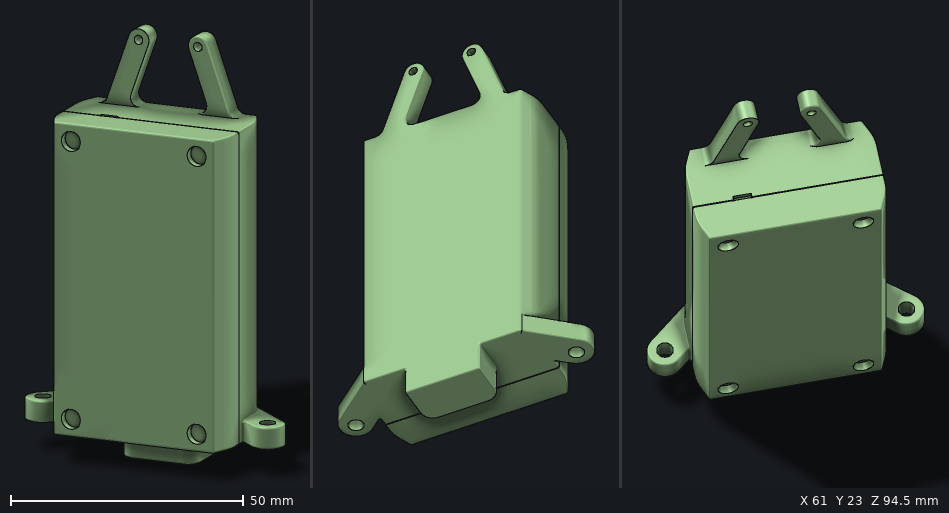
import cadquery as cq
import math


CASE_HALF_WIDTH = 21.0
CASE_DEPTH = 23.0
CASE_HEIGHT = 70.0
PARTING_DEPTH = 14.3
PARTING_GAP = 0.2
SLAB_SPAN = 4 * CASE_HEIGHT
CORNER_RADIUS = 10.0
FACET_DEPTH = 2.7
BEND_DEPTH = 6.8
EDGE_RADIUS = 0.5

RECESS_DIAMETER = 4.4
RECESS_DEPTH = 2.0
RECESS_INSET = 4.0
RECESS_HALF_SPACING = 14.8

NOTCH_CENTER_X = -9.9
NOTCH_WIDTH = 4.0
NOTCH_LENGTH = 0.85
NOTCH_DEPTH = 1.0

LUG_RADIUS = 4.0
LUG_HOLE_DIAMETER = 3.5
LUG_HEIGHT = 5.0
LUG_HOLE_X = 26.51
LUG_HOLE_DEPTH = 11.6
LUG_ANGLE = 40.0
LUG_JOINT_RADIUS = 0.4
LUG_ROOT_LENGTH = 13.0

ARM_HOLE_X = 7.0
ARM_TIP_RADIUS = 2.5
ARM_HOLE_DIAMETER = 2.0
ARM_THICKNESS = 4.8
ARM_RISE = 17.5
ARM_LEAN = 19.5
ARM_ROOT_RADIUS = 2.0
ARM_HOLE_Z = CASE_HEIGHT + ARM_RISE - ARM_TIP_RADIUS

PLUG_HALF_WIDTH = 9.0
PLUG_DEPTH = 10.5
PLUG_HEIGHT = 7.0
PLUG_CORNER_RADIUS = 3.0


def case_block():
    """Whole case without edge roundings: flat front and back, side walls bent inward to slanted facets."""
    bend_angle = math.asin((BEND_DEPTH - FACET_DEPTH) / CORNER_RADIUS)
    bend_x = CASE_HALF_WIDTH - CORNER_RADIUS * (1 - math.cos(bend_angle))
    middle_x = CASE_HALF_WIDTH - CORNER_RADIUS * (1 - math.cos(bend_angle / 2))
    middle_y = BEND_DEPTH - CORNER_RADIUS * math.sin(bend_angle / 2)
    flat_x = bend_x - FACET_DEPTH * math.tan(bend_angle)

    return (
        cq.Workplane("XY")
        .moveTo(-flat_x, 0)
        .lineTo(flat_x, 0)
        .lineTo(bend_x, -FACET_DEPTH)
        .threePointArc((middle_x, -middle_y), (CASE_HALF_WIDTH, -BEND_DEPTH))
        .lineTo(CASE_HALF_WIDTH, BEND_DEPTH - CASE_DEPTH)
        .threePointArc((middle_x, middle_y - CASE_DEPTH), (bend_x, FACET_DEPTH - CASE_DEPTH))
        .lineTo(flat_x, -CASE_DEPTH)
        .lineTo(-flat_x, -CASE_DEPTH)
        .lineTo(-bend_x, FACET_DEPTH - CASE_DEPTH)
        .threePointArc((-middle_x, middle_y - CASE_DEPTH), (-CASE_HALF_WIDTH, BEND_DEPTH - CASE_DEPTH))
        .lineTo(-CASE_HALF_WIDTH, -BEND_DEPTH)
        .threePointArc((-middle_x, -middle_y), (-bend_x, -FACET_DEPTH))
        .close()
        .extrude(CASE_HEIGHT)
    )


def depth_slab(near, far):
    """Slice of space between two depths in front of the back face, wider and taller than the part."""
    return (
        cq.Workplane("XY")
        .box(SLAB_SPAN, far - near, SLAB_SPAN)
        .translate((0, -(near + far) / 2, 0))
    )


def arm_outline():
    """Outline of the right-hand arm: round tip, straight leaning sides and flared root arcs."""
    lean = math.radians(ARM_LEAN)
    tip = cq.Vector(ARM_HOLE_X, ARM_HOLE_Z)
    down = cq.Vector(math.sin(lean), -math.cos(lean))
    outward = cq.Vector(math.cos(lean), math.sin(lean))
    toward_case = cq.Vector(0, -1)

    def root(side):
        """Upper, middle and lower points of the root arc on one side (+1 outer, -1 inner)."""
        away = outward * side
        offset = away * (ARM_TIP_RADIUS + ARM_ROOT_RADIUS)
        drop = tip.y + offset.y - CASE_HEIGHT - ARM_ROOT_RADIUS
        center = tip + offset + down * (drop / math.cos(lean))
        upper = center - away * ARM_ROOT_RADIUS
        middle = center + (toward_case - away).normalized() * ARM_ROOT_RADIUS
        lower = center + toward_case * ARM_ROOT_RADIUS
        return [(point.x, point.y) for point in (upper, middle, lower)]

    outer_upper, outer_middle, outer_lower = root(1)
    inner_upper, inner_middle, inner_lower = root(-1)
    tip_outer = tip + outward * ARM_TIP_RADIUS
    tip_end = tip - down * ARM_TIP_RADIUS
    tip_inner = tip - outward * ARM_TIP_RADIUS
    return (
        cq.Workplane("XZ")
        .moveTo(*inner_lower)
        .lineTo(*outer_lower)
        .threePointArc(outer_middle, outer_upper)
        .lineTo(tip_outer.x, tip_outer.y)
        .threePointArc((tip_end.x, tip_end.y), (tip_inner.x, tip_inner.y))
        .lineTo(*inner_upper)
        .threePointArc(inner_middle, inner_lower)
        .close()
    )


def arms():
    """The two arms, mirrored in X; the right-hand one also has a rounded front outline."""
    plain = arm_outline().extrude(ARM_THICKNESS)
    rounded = plain.faces("<Y").edges("not <Z").fillet(EDGE_RADIUS)
    return rounded.add(plain.mirror("YZ")).combine()


def arm_holes():
    return (
        cq.Workplane("XZ")
        .pushPoints([(-ARM_HOLE_X, ARM_HOLE_Z), (ARM_HOLE_X, ARM_HOLE_Z)])
        .circle(ARM_HOLE_DIAMETER / 2)
        .extrude(ARM_THICKNESS)
    )


def plug():
    """Block under the case, flush with the back face and with two rounded front corners."""
    return (
        cq.Workplane("XY")
        .rect(2 * PLUG_HALF_WIDTH, 2 * PLUG_DEPTH)
        .extrude(-PLUG_HEIGHT)
        .edges("|Z and <Y")
        .fillet(PLUG_CORNER_RADIUS)
        .intersect(depth_slab(0, CASE_DEPTH))
        .faces("<Z")
        .edges("not >Y")
        .fillet(EDGE_RADIUS)
    )


def lug():
    """Right-hand mounting lug: a round-ended plate whose slanting root is buried in the case."""
    plate = (
        cq.Workplane("XY")
        .moveTo(-LUG_ROOT_LENGTH, -LUG_RADIUS)
        .lineTo(0, -LUG_RADIUS)
        .threePointArc((LUG_RADIUS, 0), (0, LUG_RADIUS))
        .lineTo(-LUG_ROOT_LENGTH, LUG_RADIUS)
        .close()
        .extrude(LUG_HEIGHT)
        .faces("<Z or >Z")
        .edges("not <X")
        .fillet(EDGE_RADIUS)
    )
    hole = cq.Workplane("XY").circle(LUG_HOLE_DIAMETER / 2).extrude(LUG_HEIGHT)
    return (
        plate.cut(hole)
        .rotate((0, 0, 0), (0, 0, 1), -LUG_ANGLE)
        .translate((LUG_HOLE_X, -LUG_HOLE_DEPTH, 0))
    )


def pry_notch():
    """Shallow rectangular pocket in the top of the base, open to the parting gap."""
    return (
        cq.Workplane("XY")
        .box(NOTCH_WIDTH, NOTCH_LENGTH, NOTCH_DEPTH)
        .translate((
            NOTCH_CENTER_X,
            NOTCH_LENGTH / 2 - PARTING_DEPTH,
            CASE_HEIGHT - NOTCH_DEPTH / 2,
        ))
    )


def base_shell():
    """Rear body: back part of the case with the arms, the plug and the mounting lugs."""
    block = case_block().faces("<Z or >Z").edges("not >Y").fillet(EDGE_RADIUS)
    shell = block.intersect(depth_slab(0, PARTING_DEPTH)).union(plug())
    plug_root = cq.selectors.BoxSelector(
        (-PLUG_HALF_WIDTH - EDGE_RADIUS / 2, -PLUG_DEPTH - EDGE_RADIUS / 2, -EDGE_RADIUS / 2),
        (PLUG_HALF_WIDTH + EDGE_RADIUS / 2, -EDGE_RADIUS, EDGE_RADIUS / 2),
    )
    shell = shell.edges(plug_root).fillet(EDGE_RADIUS)
    shell = shell.union(arms())
    shell = shell.faces(">Y").edges().fillet(EDGE_RADIUS)
    for side_lug in (lug(), lug().mirror("YZ")):
        shell = shell.union(side_lug)
    lug_joints = [
        edge for edge in shell.edges("|Y").vals()
        if abs(edge.Center().z - LUG_HEIGHT) < EDGE_RADIUS / 2
    ]
    shell = shell.newObject(lug_joints).fillet(LUG_JOINT_RADIUS)
    return shell.cut(arm_holes()).cut(pry_notch())


def front_cover():
    """Front body: rest of the case, with four screw recesses in its face."""
    rounded = case_block().faces("<Y or <Z or >Z").edges("not >Y").fillet(EDGE_RADIUS)
    recess_heights = (RECESS_INSET, CASE_HEIGHT - RECESS_INSET)
    recess_centers = [(x, z) for x in (-RECESS_HALF_SPACING, RECESS_HALF_SPACING) for z in recess_heights]
    recesses = (
        cq.Workplane("XZ", origin=(0, RECESS_DEPTH - CASE_DEPTH, 0))
        .pushPoints(recess_centers)
        .circle(RECESS_DIAMETER / 2)
        .extrude(RECESS_DEPTH)
    )
    return rounded.intersect(depth_slab(PARTING_DEPTH + PARTING_GAP, CASE_DEPTH)).cut(recesses)


base = base_shell()
cover = front_cover()
result = cq.Compound.makeCompound([base.val(), cover.val()])